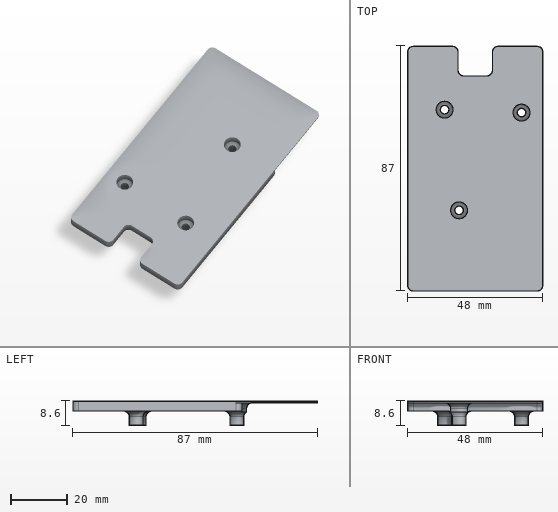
import cadquery as cq

plate_width = 48.0
plate_length = 87
skin_thickness = 0.6
thick_length = 60
thick_height = 3.6
corner_radius = 2.0

notch_width = 12.2
notch_depth = 10.5

total_height = 8.6
post_diameter = 5.0
boss_diameter = 7
flare_radius = 2.0
hole_diameter = 3.0
counterbore_diameter = 6.0
counterbore_depth = 3.0
front_post = (-5.7, -14.8)
posts = [(-10.9, 21.0), (16.4, 19.9), front_post]

back_edge = plate_length / 2
skin_bottom = -skin_thickness
thick_bottom = -thick_height
post_bottom = -total_height


def rounded_slab(length, height):
    """Slab hanging from Z = 0 and reaching forward from the back edge."""
    return (
        cq.Workplane("XY")
        .center(0, back_edge - length / 2)
        .rect(plate_width, length)
        .extrude(-height)
        .edges("|Z")
        .fillet(corner_radius)
    )


def cylinder(center, diameter, top, bottom):
    return (
        cq.Workplane("XY", origin=(0, 0, top))
        .center(*center)
        .circle(diameter / 2)
        .extrude(bottom - top)
    )


def flared_post(center, diameter, root, bottom):
    """Round post from Z = 0 with a concave flare below the level root."""
    radius = diameter / 2
    flare_bottom = root - flare_radius
    flare_edge = radius + flare_radius
    flare_offset = flare_radius / 2**0.5
    flare_middle = (flare_edge - flare_offset, flare_bottom + flare_offset)
    return (
        cq.Workplane("XZ")
        .lineTo(flare_edge, 0)
        .lineTo(flare_edge, root)
        .threePointArc(flare_middle, (radius, flare_bottom))
        .lineTo(radius, bottom)
        .lineTo(0, bottom)
        .close()
        .revolve(360, (0, 0, 0), (0, 1, 0))
        .translate((*center, 0))
    )


def back_notch():
    """Notch cutter with rounded inner corners."""
    return (
        cq.Workplane("XY")
        .center(0, back_edge)
        .rect(notch_width, 2 * notch_depth)
        .extrude(-thick_height)
        .edges("|Z")
        .fillet(corner_radius)
    )


plate = rounded_slab(plate_length, skin_thickness).union(rounded_slab(thick_length, thick_height))
plate = plate.cut(back_notch())
mouth = cq.selectors.BoxSelector(
    (-notch_width, back_edge - skin_thickness, thick_bottom),
    (notch_width, back_edge + skin_thickness, 0),
)
plate = plate.edges("|Z").edges(mouth).fillet(corner_radius)

boss_envelope = cylinder(front_post, boss_diameter, 0, post_bottom)
body = plate.union(flared_post(front_post, boss_diameter, skin_bottom, thick_bottom))

post_envelope = rounded_slab(thick_length, total_height).union(boss_envelope)
for center in posts:
    post = flared_post(center, post_diameter, thick_bottom, post_bottom)
    body = body.union(post.intersect(post_envelope))

for center in posts:
    body = body.cut(cylinder(center, hole_diameter, 0, post_bottom))
    body = body.cut(cylinder(center, counterbore_diameter, 0, -counterbore_depth))

result = body